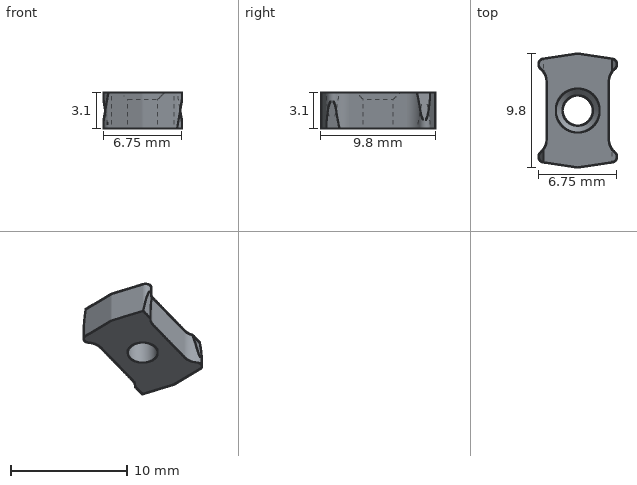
import cadquery as cq
import math

width = 6.75
length = 9.8
thickness = 3.1

waist_half_width = 2.68
end_slope = math.radians(8.5)
tip_radius = 0.5
nose_radius = 0.5
waist_fillet_radius = 1.45

hole_diameter = 2.58
sink_diameter = 3.78
sink_depth = (sink_diameter - hole_diameter) / 2

relief_angle = math.radians(10)

sin_slope = math.sin(end_slope)
cos_slope = math.cos(end_slope)

tip_center_y = length / 2 - tip_radius
tip_end = (tip_radius * sin_slope, tip_center_y + tip_radius * cos_slope)

nose_center_x = width / 2 - nose_radius
nose_start_x = nose_center_x + nose_radius * sin_slope
nose_start_y = tip_end[1] - (nose_start_x - tip_end[0]) * math.tan(end_slope)
nose_center_y = nose_start_y - nose_radius * cos_slope

hollow_center_x = waist_half_width + waist_fillet_radius
center_distance = nose_radius + waist_fillet_radius
center_offset_x = hollow_center_x - nose_center_x
center_offset_y = math.sqrt(center_distance**2 - center_offset_x**2)
hollow_center_y = nose_center_y - center_offset_y
hollow_start_angle = math.atan2(center_offset_y, -center_offset_x)
hollow_mid_angle = (hollow_start_angle + math.pi) / 2


def on_circle(center_x, center_y, radius, angle):
    """Point on a circle at an angle counted from the +X direction."""
    return (center_x + radius * math.cos(angle), center_y + radius * math.sin(angle))


nose_start = (nose_start_x, nose_start_y)
nose_mid = (nose_center_x + nose_radius, nose_center_y)
nose_end = on_circle(hollow_center_x, hollow_center_y, waist_fillet_radius, hollow_start_angle)
hollow_mid = on_circle(hollow_center_x, hollow_center_y, waist_fillet_radius, hollow_mid_angle)
waist_end = (waist_half_width, hollow_center_y)


def make_blank():
    """Double-ended plate: one quarter of the outline, mirrored into all four."""
    quarter = (
        cq.Workplane("XY", origin=(0, 0, -thickness / 2))
        .moveTo(0, length / 2)
        .threePointArc(
            on_circle(0, tip_center_y, tip_radius, math.pi / 2 - end_slope / 2),
            tip_end,
        )
        .lineTo(*nose_start)
        .threePointArc(nose_mid, nose_end)
        .threePointArc(hollow_mid, waist_end)
        .lineTo(waist_half_width, 0)
        .lineTo(0, 0)
        .close()
        .extrude(thickness)
    )
    half = quarter.union(quarter.mirror("YZ"))
    return half.union(half.mirror("XZ")).clean()


def make_hole_cutter():
    """Through hole with a conical countersink at its upper mouth."""
    hole_radius = hole_diameter / 2
    top = thickness / 2
    return (
        cq.Workplane("XZ")
        .moveTo(0, -top)
        .lineTo(hole_radius, -top)
        .lineTo(hole_radius, top - sink_depth)
        .lineTo(sink_diameter / 2, top)
        .lineTo(0, top)
        .close()
        .revolve(360, (0, 0), (0, 1))
    )


def make_relief_cutter(side_x, side_y):
    """Wedge that cuts one nose; it is widest on the top face where side_x equals side_y."""
    wide_z = side_x * side_y * thickness / 2
    run = thickness * math.tan(relief_angle)
    outer_x = width
    return (
        cq.Workplane("XZ")
        .polyline(
            [
                (side_x * nose_start_x, wide_z),
                (side_x * (nose_start_x + run), -wide_z),
                (side_x * outer_x, -wide_z),
                (side_x * outer_x, wide_z),
            ]
        )
        .close()
        .extrude(-side_y * length)
    )


result = make_blank().cut(make_hole_cutter())
for side_x in (-1, 1):
    for side_y in (-1, 1):
        result = result.cut(make_relief_cutter(side_x, side_y))